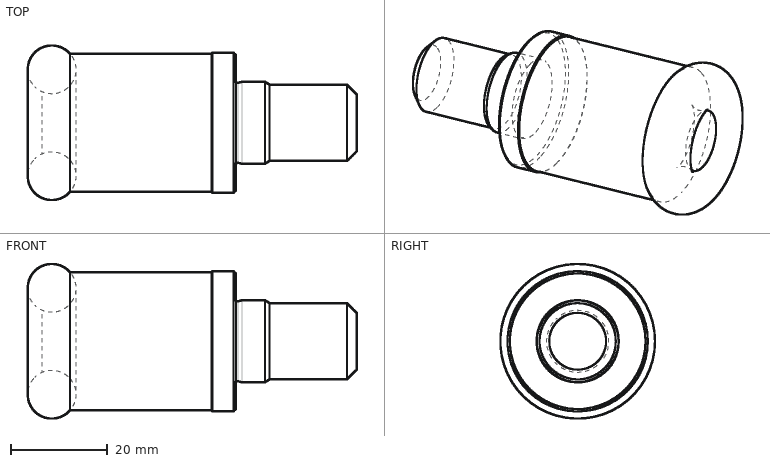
import cadquery as cq
import math


ring_outer_radius = 16.0
ring_tube_radius = 5.0
ring_center_radius = ring_outer_radius - ring_tube_radius
ring_front_x = -43.0
ring_center_x = ring_front_x + ring_tube_radius

barrel_radius = 28.6 / 2
front_recess = 3.0
front_face_x = ring_front_x + front_recess
flange_radius = 29.0 / 2
flange_length = 5.0
flange_step = flange_radius - barrel_radius
flange_chamfer = 0.5

collar_radius = 17.0 / 2
collar_end_x = 7.0
collar_chamfer_length = 1.0
relief_depth = 0.2
relief_radius = collar_radius - relief_depth
relief_arc_radius = 1.2
relief_arc_length = 0.5
relief_end_x = 1.3

stud_radius = 15.75 / 2
stud_end_x = 25.0
stud_chamfer = 2.0

relief_rise = relief_arc_radius - math.sqrt(relief_arc_radius**2 - relief_arc_length**2)


def make_ring():
    """Round-section bumper ring around the front of the body."""
    return (
        cq.Workplane("XY")
        .center(ring_center_x, ring_center_radius)
        .circle(ring_tube_radius)
        .revolve(360, (0, -ring_center_radius), (1, -ring_center_radius))
    )


def make_turned_blank():
    """Barrel, flange, collar and stud, turned in one piece about X."""
    return (
        cq.Workplane("XY")
        .moveTo(front_face_x, 0)
        .lineTo(front_face_x, barrel_radius)
        .lineTo(-flange_length, barrel_radius)
        .lineTo(-flange_length + flange_step, flange_radius)
        .lineTo(-flange_chamfer, flange_radius)
        .lineTo(0, flange_radius - flange_chamfer)
        .lineTo(0, relief_radius + relief_rise)
        .radiusArc((relief_arc_length, relief_radius), -relief_arc_radius)
        .lineTo(relief_end_x, collar_radius)
        .lineTo(collar_end_x - collar_chamfer_length, collar_radius)
        .lineTo(collar_end_x, stud_radius)
        .lineTo(stud_end_x - stud_chamfer, stud_radius)
        .lineTo(stud_end_x, stud_radius - stud_chamfer)
        .lineTo(stud_end_x, 0)
        .close()
        .revolve(360, (0, 0), (1, 0))
    )


ring = make_ring()

body = make_turned_blank().cut(ring).solids()

result = cq.Compound.makeCompound([body.val(), ring.val()])